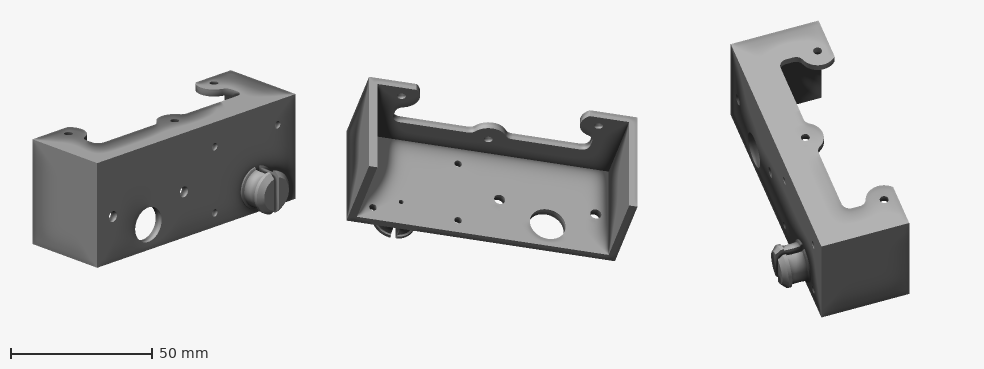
import cadquery as cq

length = 98.0
depth = 32.9
height = 39.7
end_wall = 3.0
back_wall = 3.0
top_plate = 2.6
back_inner_x = depth - back_wall

cutout_depth = 19.8
cutout_half_length = 36.0
lobe_radius = 6.6
blend_radius = 3.0
top_hole_diameter = 3.1
end_hole_x = 4.9
middle_hole_x = 22.0
top_holes = [
    (end_hole_x, -cutout_half_length),
    (middle_hole_x, 0),
    (end_hole_x, cutout_half_length),
]

axis_height = 9.6
screw_hole_diameter = 2.7
screw_columns = (9.0, 40.1)
screw_rows = (5.3, 30.4)
screw_holes = [(y, z) for y in screw_columns for z in screw_rows]
port_diameter = 13.0
port_y = -23.7
flank_hole_diameter = 4.0
flank_hole_offset = 17.5
flank_hole_z = 17.3
flank_holes = [(port_y + side * flank_hole_offset, flank_hole_z) for side in (-1, 1)]

spigot_y = 29.8
spigot_length = 43.0 - depth
spigot_radius = 7.9
neck_end_radius = 7.2
neck_middle_radius = 7.0
spigot_tip_radius = 6.1
base_rim_end = 0.6
neck_start = 1.0
neck_end = 7.0
chamfer_start = 8.2
slot_width = 2.4
pilot_hole_diameter = 1.8


def make_shell():
    outer = cq.Workplane("XY").box(depth, length, height, centered=(False, True, False))
    cavity = cq.Workplane("XY").box(
        back_inner_x, length - 2 * end_wall, height - top_plate, centered=(False, True, False)
    )
    return outer.cut(cavity)


def make_top_cutout():
    """Opening in the top plate, leaving a rounded lobe around each screw hole."""
    plate_bottom = cq.Workplane("XY", origin=(0, 0, height - top_plate))
    opening = plate_bottom.rect(2 * cutout_depth, 2 * cutout_half_length).extrude(top_plate)
    front_trim = plate_bottom.center(-cutout_depth / 2, 0).rect(cutout_depth, length).extrude(top_plate)
    lobes = plate_bottom.pushPoints(top_holes).circle(lobe_radius).extrude(top_plate)
    opening = opening.cut(front_trim).cut(lobes)
    inner_edges = cq.selectors.BoxSelector(
        (end_hole_x, -length, 0), (depth, length, height)
    )
    return opening.edges("|Z").edges(inner_edges).fillet(blend_radius)


def make_top_holes():
    plate_bottom = cq.Workplane("XY", origin=(0, 0, height - top_plate))
    return plate_bottom.pushPoints(top_holes).circle(top_hole_diameter / 2).extrude(top_plate)


def back_wall_holes(points, diameter):
    inner_face = cq.Workplane("YZ", origin=(back_inner_x, 0, 0))
    return inner_face.pushPoints(points).circle(diameter / 2).extrude(back_wall)


def make_spigot():
    """Turned spigot with a hollowed neck and chamfered tip, split by a vertical slot."""
    spigot = (
        cq.Workplane("XY", origin=(depth, spigot_y, axis_height))
        .lineTo(0, spigot_radius)
        .lineTo(base_rim_end, spigot_radius)
        .lineTo(neck_start, neck_end_radius)
        .threePointArc(((neck_start + neck_end) / 2, neck_middle_radius), (neck_end, neck_end_radius))
        .lineTo(neck_end, spigot_radius)
        .lineTo(chamfer_start, spigot_radius)
        .lineTo(spigot_length, spigot_tip_radius)
        .lineTo(spigot_length, 0)
        .close()
        .revolve(360, (0, 0, 0), (1, 0, 0))
    )
    slot = cq.Workplane("XY", origin=(depth, spigot_y, axis_height)).box(
        spigot_length, slot_width, 2 * spigot_radius, centered=(False, True, True)
    )
    return spigot.cut(slot)


result = (
    make_shell()
    .cut(make_top_cutout())
    .cut(make_top_holes())
    .union(make_spigot())
    .cut(back_wall_holes(screw_holes, screw_hole_diameter))
    .cut(back_wall_holes(flank_holes, flank_hole_diameter))
    .cut(back_wall_holes([(port_y, axis_height)], port_diameter))
    .cut(back_wall_holes([(spigot_y, axis_height)], pilot_hole_diameter))
)